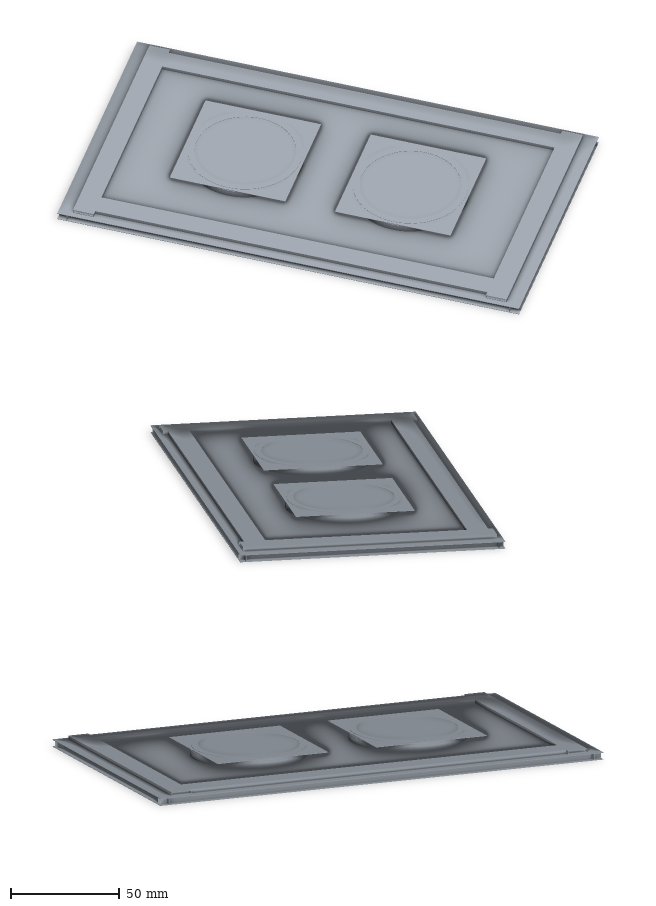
import cadquery as cq

PANEL_LENGTH = 223.6
PANEL_WIDTH = 124.8
PANEL_HEIGHT = 3.5
LOWER_LIP = 0.2
UPPER_LIP = 0.3
CORE_LENGTH = 214.5
CORE_WIDTH = 119.5
RIB_THICKNESS = 0.2

BORDER_HEIGHT = 1.7
STRIP_WIDTH = 10.0
BORDER_LENGTH = 210.0
BORDER_WIDTH = CORE_WIDTH
BAR_LENGTH = 198.0
BAR_SPAN = 115.0
STRIP_SKIN = 0.2

TOTAL_HEIGHT = 8.16
PAD_SPACING = 80.0
PLATE_SIDE = 56.0
PLATE_THICKNESS = 0.2
STEM_DIAMETER = 54.5
GROOVE_DIAMETER = 54.0
GROOVE_TOP = 7.4
GROOVE_BOTTOM = 6.7
RING_OUTER_DIAMETER = 53.5
RING_INNER_DIAMETER = 47.0
RING_HEIGHT = 0.16


def block(length, width, bottom, top):
    """Box centred on the Z axis between two heights."""
    return cq.Workplane("XY").workplane(offset=bottom).rect(length, width).extrude(top - bottom)


def disc(diameter, bottom, top):
    """Cylinder on the Z axis between two heights."""
    return cq.Workplane("XY").workplane(offset=bottom).circle(diameter / 2).extrude(top - bottom)


def make_panel():
    """Slab with grooved edges; thin ribs close the grooves off at the corners."""
    groove_top = PANEL_HEIGHT - UPPER_LIP
    panel = block(CORE_LENGTH, CORE_WIDTH, 0, PANEL_HEIGHT)
    panel = panel.union(block(PANEL_LENGTH, PANEL_WIDTH, 0, LOWER_LIP))
    panel = panel.union(block(PANEL_LENGTH, PANEL_WIDTH, groove_top, PANEL_HEIGHT))
    for side in (-1, 1):
        rib_x = side * (CORE_LENGTH - RIB_THICKNESS) / 2
        rib_y = side * (CORE_WIDTH - RIB_THICKNESS) / 2
        cross_rib = block(RIB_THICKNESS, PANEL_WIDTH, 0, PANEL_HEIGHT).translate((rib_x, 0, 0))
        long_rib = block(PANEL_LENGTH, RIB_THICKNESS, 0, PANEL_HEIGHT).translate((0, rib_y, 0))
        panel = panel.union(cross_rib).union(long_rib)
    return panel


def make_bar(side):
    """Side bar running along X, on the +Y or -Y side."""
    bar = block(BAR_LENGTH, STRIP_WIDTH, PANEL_HEIGHT, PANEL_HEIGHT + BORDER_HEIGHT)
    return bar.translate((0, side * (BAR_SPAN - STRIP_WIDTH) / 2, 0))


def make_end_strip(side, bars):
    """End strip running along Y, notched for the bars and hollowed at both ends."""
    strip_top = PANEL_HEIGHT + BORDER_HEIGHT
    strip = block(STRIP_WIDTH, BORDER_WIDTH, PANEL_HEIGHT, strip_top)
    hollow_depth = (BORDER_WIDTH - BAR_SPAN) / 2
    for end in (-1, 1):
        hollow = block(
            STRIP_WIDTH - 2 * STRIP_SKIN, hollow_depth, PANEL_HEIGHT + STRIP_SKIN, strip_top - STRIP_SKIN
        )
        strip = strip.cut(hollow.translate((0, end * (BORDER_WIDTH - hollow_depth) / 2, 0)))
    strip = strip.translate((side * (BORDER_LENGTH - STRIP_WIDTH) / 2, 0, 0))
    for bar in bars:
        strip = strip.cut(bar)
    return strip


def make_pad(side):
    """Round stem with a shallow groove, carrying a square plate and a raised ring."""
    plate_top = TOTAL_HEIGHT - RING_HEIGHT
    plate_bottom = plate_top - PLATE_THICKNESS
    pad = disc(STEM_DIAMETER, PANEL_HEIGHT, GROOVE_BOTTOM)
    pad = pad.union(disc(GROOVE_DIAMETER, GROOVE_BOTTOM, GROOVE_TOP))
    pad = pad.union(disc(STEM_DIAMETER, GROOVE_TOP, plate_bottom))
    pad = pad.union(block(PLATE_SIDE, PLATE_SIDE, plate_bottom, plate_top))
    pad = pad.union(disc(RING_OUTER_DIAMETER, plate_top, TOTAL_HEIGHT))
    pad = pad.cut(disc(RING_INNER_DIAMETER, plate_top, TOTAL_HEIGHT))
    return pad.translate((side * PAD_SPACING / 2, 0, 0))


SIDES = (-1, 1)
panel = make_panel()
bars = [make_bar(side) for side in SIDES]
end_strips = [make_end_strip(side, bars) for side in SIDES]
pads = [make_pad(side) for side in SIDES]

bodies = [panel, *bars, *end_strips, *pads]
result = cq.Compound.makeCompound([body.val() for body in bodies])